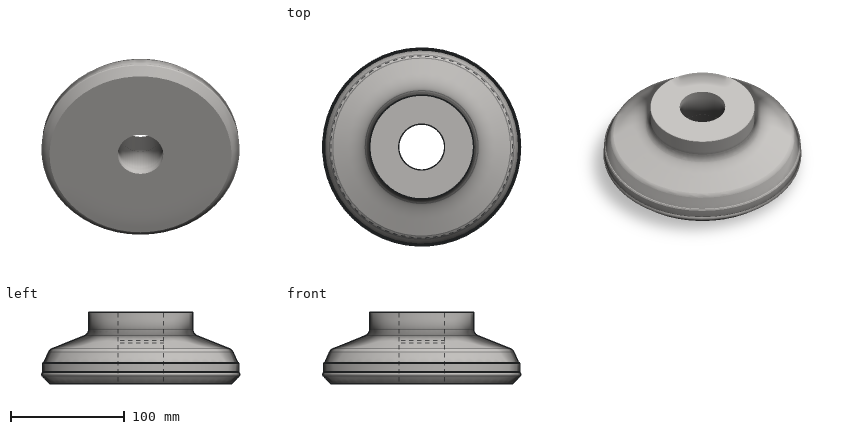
import cadquery as cq

TOTAL_HEIGHT = 63.0
SPLIT_HEIGHT = 10.1

BORE_RADIUS = 40.0 / 2
RELIEF_RADIUS = 40.2 / 2
RELIEF_TOP = 38.3
RELIEF_BOTTOM = 36.0

HUB_RADIUS = 91.6 / 2
HUB_EDGE_CHAMFER = 0.3
HUB_FILLET_RADIUS = 6.1
UPPER_CONE_TOP_RADIUS = 49.6
UPPER_CONE_TOP_HEIGHT = 42.3
SHOULDER_RADIUS = 80.1
SHOULDER_HEIGHT = 30.1
SHOULDER_FILLET_RADIUS = 5.2
LOWER_CONE_BASE_RADIUS = 85.2

LEDGE_RADIUS = 85.7
LEDGE_HEIGHT = 19.0
BAND_RADIUS = 173.0 / 2
BAND_TOP = 17.8
BAND_BOTTOM = 10.8
HOUSING_FOOT_RADIUS = 86.0

LIP_RADIUS = 87.1
LIP_MID_HEIGHT = 8.4
LIP_BOTTOM_RADIUS = 86.7
LIP_BOTTOM = 7.1
UNDERSIDE_RADIUS = 80.0


def revolve_profile(profile):
    """Turn a closed (radius, height) outline about the Z axis."""
    return profile.close().revolve(360, (0, 0, 0), (0, 1, 0))


def circle_at(height, radius):
    """Selector for the circular edge at one height and radius."""
    margin = 0.2
    reach = radius + margin
    return cq.selectors.BoxSelector(
        (-reach, -reach, height - margin),
        (reach, reach, height + margin),
        boundingbox=True,
    )


def make_housing():
    cone_slope = (UPPER_CONE_TOP_HEIGHT - SHOULDER_HEIGHT) / (SHOULDER_RADIUS - UPPER_CONE_TOP_RADIUS)
    hub_foot_height = UPPER_CONE_TOP_HEIGHT + cone_slope * (UPPER_CONE_TOP_RADIUS - HUB_RADIUS)
    housing = revolve_profile(
        cq.Workplane("XZ")
        .moveTo(BORE_RADIUS, TOTAL_HEIGHT)
        .lineTo(HUB_RADIUS - HUB_EDGE_CHAMFER, TOTAL_HEIGHT)
        .lineTo(HUB_RADIUS, TOTAL_HEIGHT - HUB_EDGE_CHAMFER)
        .lineTo(HUB_RADIUS, hub_foot_height)
        .lineTo(SHOULDER_RADIUS, SHOULDER_HEIGHT)
        .lineTo(LOWER_CONE_BASE_RADIUS, LEDGE_HEIGHT)
        .lineTo(LEDGE_RADIUS, LEDGE_HEIGHT)
        .lineTo(BAND_RADIUS, BAND_TOP)
        .lineTo(BAND_RADIUS, BAND_BOTTOM)
        .lineTo(HOUSING_FOOT_RADIUS, SPLIT_HEIGHT)
        .lineTo(BORE_RADIUS, SPLIT_HEIGHT)
        .lineTo(BORE_RADIUS, RELIEF_BOTTOM)
        .lineTo(RELIEF_RADIUS, RELIEF_BOTTOM)
        .lineTo(RELIEF_RADIUS, RELIEF_TOP)
        .lineTo(BORE_RADIUS, RELIEF_TOP)
    )
    housing = housing.edges(circle_at(hub_foot_height, HUB_RADIUS)).fillet(HUB_FILLET_RADIUS)
    return housing.edges(circle_at(SHOULDER_HEIGHT, SHOULDER_RADIUS)).fillet(SHOULDER_FILLET_RADIUS)


def make_base_ring():
    return revolve_profile(
        cq.Workplane("XZ")
        .moveTo(BORE_RADIUS, SPLIT_HEIGHT)
        .lineTo(HOUSING_FOOT_RADIUS, SPLIT_HEIGHT)
        .threePointArc((LIP_RADIUS, LIP_MID_HEIGHT), (LIP_BOTTOM_RADIUS, LIP_BOTTOM))
        .lineTo(UNDERSIDE_RADIUS, 0)
        .lineTo(BORE_RADIUS, 0)
    )


housing = make_housing()
base_ring = make_base_ring()

result = cq.Compound.makeCompound([housing.val(), base_ring.val()])